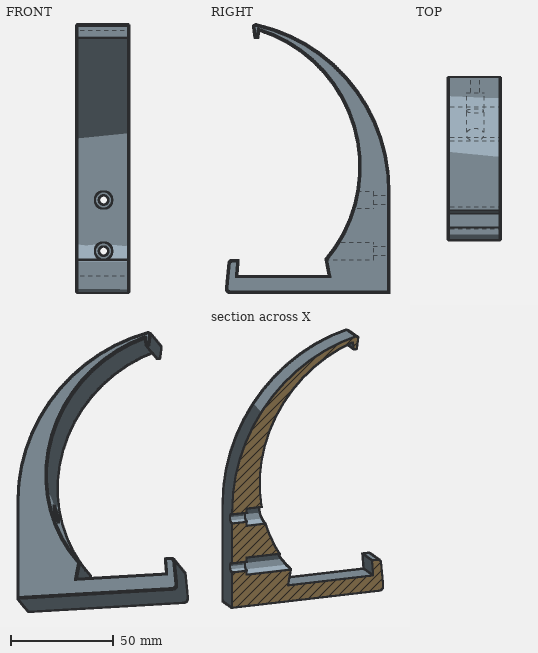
import cadquery as cq
import math

width = 26.0
height = 131.5
edge_chamfer = 0.7

outer_radius = 83.4
outer_center_z = 50.1

inner_radius = 70.0
inner_center_reach = 84.7
inner_center_z = 61.7

lip_outer_top = (66.8, 130.8)
lip_outer_bottom = (66.0, 124.7)
lip_inner_bottom = (64.2, 124.7)
lip_inner_reach = 63.8
lip_round = 0.8

shelf_z = 8.4
step_bottom_reach = 29.7
step_top_reach = 31.3
jaw_top_z = 16.2
jaw_inner_bottom_reach = 74.5
jaw_inner_top_reach = 73.8
jaw_outer_top_reach = 78.7
jaw_outer_bottom_reach = 80.3
jaw_top_round = 2.0
jaw_bottom_round = 2.2

hole_diameter = 4.5
counterbore_diameter = 8.5
hole_x = 0.4
lower_hole_z = 20.5
hole_spacing = 25.0
seat_thickness = 7.9
hole_length = 39.5


def outer_arc_point(z):
    """Point (reach, z) on the outer arc at height z."""
    return outer_radius - math.sqrt(outer_radius**2 - (z - outer_center_z) ** 2), z


def inner_arc_z(reach, side):
    """Height of the inner arc at a reach, above (+1) or below (-1) its centre."""
    return inner_center_z + side * math.sqrt(inner_radius**2 - (reach - inner_center_reach) ** 2)


def make_profile():
    """Side outline extruded across the width, centred on X = 0."""
    outer_middle = outer_arc_point((outer_center_z + height) / 2)
    inner_middle = (inner_center_reach - inner_radius, inner_center_z)
    outline = (
        cq.Workplane("YZ")
        .lineTo(0, outer_center_z)
        .threePointArc(place(outer_middle), place(outer_arc_point(height)))
        .lineTo(*place(lip_outer_top))
        .lineTo(*place(lip_outer_bottom))
        .lineTo(*place(lip_inner_bottom))
        .lineTo(-lip_inner_reach, inner_arc_z(lip_inner_reach, 1))
        .threePointArc(place(inner_middle), (-step_top_reach, inner_arc_z(step_top_reach, -1)))
        .lineTo(-step_bottom_reach, shelf_z)
        .lineTo(-jaw_inner_bottom_reach, shelf_z)
        .lineTo(-jaw_inner_top_reach, jaw_top_z)
        .lineTo(-jaw_outer_top_reach, jaw_top_z)
        .lineTo(-jaw_outer_bottom_reach, 0)
        .close()
    )
    return outline.extrude(width / 2, both=True)


def place(point):
    """Turn (reach, z) into (y, z)."""
    reach, z = point
    return -reach, z


def round_corner(body, point, radius):
    """Fillet the edge along X that passes through the outline corner."""
    y, z = place(point)
    return body.edges(cq.selectors.NearestToPointSelector((0, y, z))).fillet(radius)


def cut_screw_hole(body, z):
    """Cut a through hole whose counterbore leaves a seat near the back face."""
    plane = cq.Workplane("XZ").center(hole_x, z)
    hole = plane.circle(hole_diameter / 2).extrude(hole_length)
    counterbore = (
        plane.workplane(offset=seat_thickness)
        .circle(counterbore_diameter / 2)
        .extrude(hole_length - seat_thickness)
    )
    return body.cut(hole).cut(counterbore)


result = make_profile()
for corner, radius in (
    (lip_outer_bottom, lip_round),
    (lip_inner_bottom, lip_round),
    ((jaw_outer_top_reach, jaw_top_z), jaw_top_round),
    ((jaw_outer_bottom_reach, 0), jaw_bottom_round),
):
    result = round_corner(result, corner, radius)

result = result.faces("<X or >X").edges().chamfer(edge_chamfer)

for hole_z in (lower_hole_z, lower_hole_z + hole_spacing):
    result = cut_screw_hole(result, hole_z)